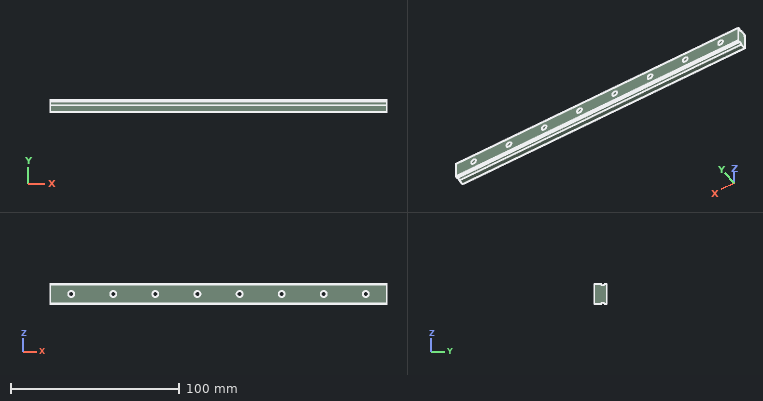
import cadquery as cq

length = 200.0
depth = 7.5
height = 12.0
edge_chamfer = 0.5

groove_width = 2.2
groove_depth = 0.8
groove_from_back = 2.5

hole_count = 8
hole_pitch = length / hole_count
hole_diameter = 3.5


def chamfered_bar():
    bar = cq.Workplane("XY").box(length, depth, height)
    return bar.edges("|X").chamfer(edge_chamfer)


def face_groove(side):
    """Cutter for the groove on the top (side = 1) or bottom (side = -1)."""
    center_y = depth / 2 - groove_from_back
    face_z = side * height / 2
    return (
        cq.Workplane("YZ")
        .moveTo(center_y - groove_width / 2, face_z)
        .lineTo(center_y + groove_width / 2, face_z)
        .threePointArc(
            (center_y, face_z - side * groove_depth),
            (center_y - groove_width / 2, face_z),
        )
        .close()
        .extrude(length / 2, both=True)
    )


def mounting_holes():
    return (
        cq.Workplane("XZ")
        .rarray(hole_pitch, 2, hole_count, 1)
        .circle(hole_diameter / 2)
        .extrude(depth / 2, both=True)
    )


result = chamfered_bar().cut(mounting_holes())
for side in (1, -1):
    result = result.cut(face_groove(side))